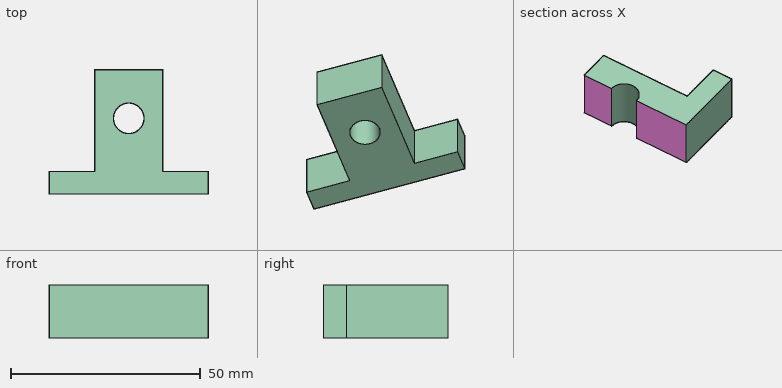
import cadquery as cq

flange_length = 42.0
total_depth = 32.8
height = 14.0

flange_thickness = 6.0
stem_width = 18.0

hole_diameter = 8.0
hole_from_front = 20.0

flange = cq.Workplane("XY").box(
    flange_length, flange_thickness, height, centered=(True, False, False)
)

stem = cq.Workplane("XY").box(
    stem_width, total_depth, height, centered=(True, False, False)
)

hole = (
    cq.Workplane("XY")
    .center(0, hole_from_front)
    .circle(hole_diameter / 2)
    .extrude(height)
)

result = flange.union(stem).cut(hole)